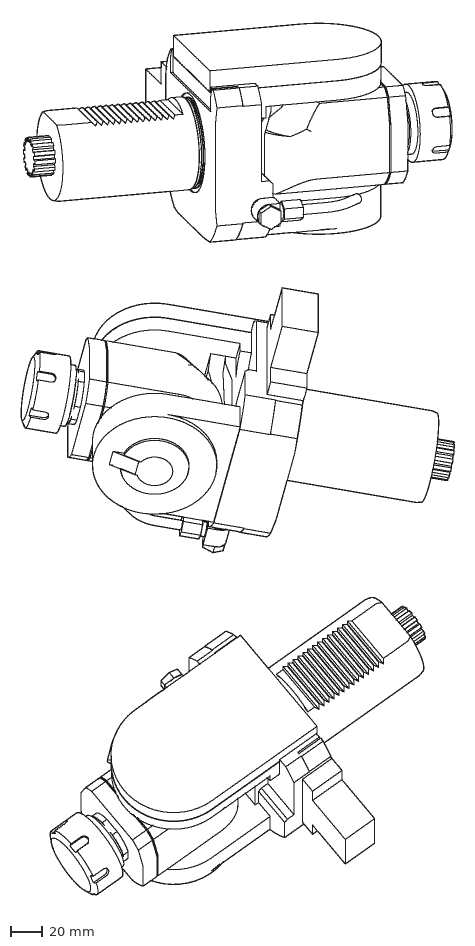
import cadquery as cq
import math


flange_half_width = 55.0
flange_top = 49.0
flange_corner_radius = 67.8
flange_rear_corner_radius = 67.5
flange_front_corner_radius = 61.8
flange_front_step = 1.0
flange_upper_depth = 31.0
flange_lower_depth = 38.5
flange_ledge_height = -12.5
flange_ledge_chamfer = 2.2

front_pocket_half_width = 44.3
front_pocket_floor = 34.0
front_pocket_depth = 1.5
side_slit_width = 1.0
side_slit_depth = 18.5

swivel_y = 85.8
arm_radius = 40.0
cap_radius = 40.2
cap_front = 0.8
arm_top = 60.0
cap_bottom = 45.7
head_half_height = 32.7
lower_arm_bottom = -53.5
lower_disc_bottom = -56.8

dome_radius = 44.0 / 2
dome_rim_bottom = -58.7
dome_flat_radius = 11.5
dome_bottom = -62.9
pointer_reach = 28.5
pointer_width = 11.0

web_half_width = 27.7
web_end = 41.3
web_taper_bottom = 10.0
web_top_end = 45.5
nose_tip = 55.0
nose_tip_half_width = 5.5
arm_root_bottom = 25.0
arm_root_drop = 12.0
arm_root_arc_radius = 14.7

body_front = 135.7
body_side = head_half_height
body_corner_radius = 39.0
body_corner_flat = math.sqrt(body_corner_radius**2 - body_side**2)
body_slope_bottom = 10.0
body_rear_center = 75.0
seam_y = 124.3
seam_width = 0.8
seam_depth = 0.3
cone_base_radius = 39.3
cone_base_height = 7.2
cone_top_radius = 26.0

neck_radius = 17.7
neck_flat_distance = 17.0
neck_groove_start = 139.5
neck_groove_radius = 17.2
collar_start = 141.5
collar_radius = 20.0
nut_start = 146.2
nut_radius = 25.2
nut_end = 169.0
nut_chamfer_length = 2.5
nut_chamfer_width = 4.5
nut_notch_count = 6
nut_notch_width = 6.0
nut_notch_end = 155.3
nut_notch_floor = 23.3

shank_radius = 30.0
shank_length = 94.1
shank_chamfer_length = 3.3
shank_chamfer_width = 0.8
shank_neck_radius = 29.4
shank_neck_length = 3.0
shank_relief_radius = 28.0
shank_relief_length = 1.5
seal_groove_radius = 32.0
seal_groove_depth = 0.8
rack_flat_height = 25.0
rack_flat_start = 10.0
rack_groove_count = 14
rack_groove_span = 52.0
rack_pitch = rack_groove_span / (rack_groove_count - 1)
rack_first_groove = 17.2
rack_groove_depth = 1.8

spline_root_radius = 20.8 / 2
spline_tip_radius = 12.7
spline_tooth_width = 2.63
spline_tooth_count = 14
spline_end = 108.0

block_front = 0.3
block_depth = 24.0
block_base_reach = 65.5
block_base_half_height = 35.0
block_reach = 100.0
block_half_height = 20.0

elbow_y = 31.0
elbow_z = -30.7
elbow_radius = 15.2 / 2
elbow_neck_radius = 7.0
elbow_neck_end = 57.0
elbow_end = 71.0
plug_end = 76.0
plug_corner_diameter = 15.5
fitting_x = 64.2
fitting_neck_radius = 9.7 / 2
fitting_hex_start = 41.5
fitting_hex_end = 54.3
fitting_corner_diameter = 13.8
tube_radius = 6.5 / 2
tube_straight_end = 71.5
tube_bend_radius = 25.0
tube_bend_angle = 39.0
tube_tail_length = 11.5

overlap = 0.5


def box(x0, x1, y0, y1, z0, z1):
    """Axis-aligned box between two opposite corners."""
    return cq.Workplane("XY").box(x1 - x0, y1 - y0, z1 - z0, centered=False).translate((x0, y0, z0))


def rod(radius, y0, y1, x=0, z=0):
    """Cylinder along Y from y0 to y1."""
    return cq.Workplane("XZ", origin=(x, y0, z)).circle(radius).extrude(y0 - y1)


def turned(points):
    """Solid of revolution about the Y axis from (radius, y) points."""
    return cq.Workplane("XY").polyline(points).close().revolve(360, (0, 0, 0), (0, 1, 0))


def side_prism(points, half_width):
    """Prism along X, centred on X = 0, from (y, z) points."""
    return cq.Workplane("YZ").polyline(points).close().extrude(half_width, both=True)


def make_flange():
    lower = box(-flange_half_width, flange_half_width, 0, flange_lower_depth,
                -flange_half_width, flange_ledge_height)
    lower = lower.edges(">Y and >Z").chamfer(flange_ledge_chamfer)
    upper = box(-flange_half_width, flange_half_width, 0, flange_upper_depth,
                flange_ledge_height, flange_top)
    rounding = turned([
        (0, 0),
        (flange_front_corner_radius, 0),
        (flange_corner_radius, flange_front_step),
        (flange_corner_radius, side_slit_depth),
        (flange_rear_corner_radius, side_slit_depth),
        (flange_rear_corner_radius, flange_lower_depth),
        (0, flange_lower_depth),
    ])
    flange = lower.union(upper).intersect(rounding)
    pocket = box(-front_pocket_half_width, front_pocket_half_width, 0, front_pocket_depth,
                 front_pocket_floor, flange_top)
    flange = flange.cut(pocket)
    for inner_edge in (-front_pocket_half_width, front_pocket_half_width - side_slit_width):
        slit = box(inner_edge, inner_edge + side_slit_width, 0, side_slit_depth,
                   front_pocket_floor, flange_top)
        flange = flange.cut(slit)
    seal_groove = rod(seal_groove_radius, 0, seal_groove_depth)
    return flange.cut(seal_groove.cut(rod(shank_neck_radius, 0, seal_groove_depth)))


def rounded_plate(start, radius, z0, z1):
    """Plate from y = start to the swivel axis, rounded about that axis."""
    disc = cq.Workplane("XY", origin=(0, swivel_y, z0)).circle(radius).extrude(z1 - z0)
    return disc.union(box(-radius, radius, start, swivel_y, z0, z1))


def make_arms():
    upper = rounded_plate(flange_upper_depth - overlap, arm_radius, head_half_height, cap_bottom)
    cap = rounded_plate(cap_front, cap_radius, cap_bottom, arm_top)
    lower = rounded_plate(flange_upper_depth - overlap, arm_radius, lower_arm_bottom, -head_half_height)
    disc = cq.Workplane("XY", origin=(0, swivel_y, lower_disc_bottom)).circle(arm_radius)
    disc = disc.extrude(lower_arm_bottom - lower_disc_bottom)
    return upper.union(cap).union(lower).union(disc)


def make_dome():
    dome = (
        cq.Workplane("XZ", origin=(0, swivel_y, 0))
        .polyline([
            (0, lower_disc_bottom + overlap),
            (dome_radius, lower_disc_bottom + overlap),
            (dome_radius, dome_rim_bottom),
            (dome_flat_radius, dome_bottom),
            (0, dome_bottom),
        ])
        .close()
        .revolve(360, (0, 0, 0), (0, 1, 0))
    )
    pointer = side_prism([
        (swivel_y, lower_disc_bottom + overlap),
        (swivel_y, dome_bottom),
        (swivel_y + dome_flat_radius, dome_bottom),
        (swivel_y + pointer_reach, lower_disc_bottom),
        (swivel_y + pointer_reach, lower_disc_bottom + overlap),
    ], pointer_width / 2)
    return dome.union(pointer)


def make_web():
    """Web behind the flange that joins both arms and follows the head cone."""
    web = side_prism([
        (flange_upper_depth - overlap, -head_half_height),
        (web_end, -head_half_height),
        (web_end, web_taper_bottom),
        (web_top_end, arm_root_bottom),
        (web_top_end, head_half_height),
        (flange_upper_depth - overlap, head_half_height),
    ], web_half_width)
    nose = side_prism([
        (web_end - overlap, web_taper_bottom),
        (web_top_end, web_taper_bottom),
        (nose_tip, arm_root_bottom),
        (nose_tip, head_half_height),
        (web_end - overlap, head_half_height),
    ], web_half_width)
    nose_taper = (
        cq.Workplane("XZ")
        .polyline([
            (-web_half_width, head_half_height),
            (-nose_tip_half_width, web_taper_bottom),
            (nose_tip_half_width, web_taper_bottom),
            (web_half_width, head_half_height),
        ])
        .close()
        .extrude(-nose_tip)
    )
    nose = nose.intersect(nose_taper)
    root = (
        cq.Workplane("XZ", origin=(0, flange_upper_depth - overlap, 0))
        .moveTo(-arm_radius, head_half_height)
        .lineTo(-arm_radius, arm_root_bottom)
        .radiusArc((-web_half_width, arm_root_bottom - arm_root_drop), arm_root_arc_radius)
        .lineTo(web_half_width, arm_root_bottom - arm_root_drop)
        .radiusArc((arm_radius, arm_root_bottom), arm_root_arc_radius)
        .lineTo(arm_radius, head_half_height)
        .close()
        .extrude(flange_upper_depth - overlap - flange_lower_depth)
    )
    return web.union(nose).union(root)


def head_outline(y):
    """Cross-section of the swivel head in the plane at the given y."""
    corner_mid = body_corner_radius * math.sqrt(0.5)
    top_arc_angle = (math.acos(body_corner_flat / body_corner_radius) + math.pi / 4) / 2
    arc_x = body_corner_radius * math.cos(top_arc_angle)
    arc_z = body_corner_radius * math.sin(top_arc_angle)
    return (
        cq.Workplane("XZ", origin=(0, y, 0))
        .moveTo(-body_corner_flat, head_half_height)
        .lineTo(body_corner_flat, head_half_height)
        .threePointArc((arc_x, arc_z), (corner_mid, corner_mid))
        .lineTo(body_side, body_slope_bottom)
        .lineTo(body_side, -body_corner_flat)
        .threePointArc((corner_mid, -corner_mid), (body_corner_flat, -head_half_height))
        .lineTo(-body_corner_flat, -head_half_height)
        .threePointArc((-corner_mid, -corner_mid), (-body_side, -body_corner_flat))
        .lineTo(-body_side, body_slope_bottom)
        .lineTo(-corner_mid, corner_mid)
        .threePointArc((-arc_x, arc_z), (-body_corner_flat, head_half_height))
        .close()
    )


def make_head():
    """Swivel head: profiled body, round and cone-relieved at the rear."""
    body = head_outline(body_front).extrude(body_front - body_rear_center + body_side)
    plan = (
        cq.Workplane("XY", origin=(0, body_rear_center, -head_half_height))
        .circle(body_side)
        .extrude(2 * head_half_height)
        .union(box(-body_side, body_side, body_rear_center, body_front,
                   -head_half_height, head_half_height))
    )
    body = body.intersect(plan)
    cone = (
        cq.Workplane("XZ", origin=(0, swivel_y, 0))
        .polyline([
            (0, cone_base_height),
            (cone_base_radius, cone_base_height),
            (cone_top_radius, head_half_height),
            (0, head_half_height),
        ])
        .close()
        .revolve(360, (0, 0, 0), (0, 1, 0))
    )
    relief = box(-body_side, body_side, 0, swivel_y, cone_base_height, head_half_height).cut(cone)
    body = body.cut(relief)
    seam_ring = head_outline(seam_y).extrude(seam_width)
    seam_core = head_outline(seam_y).offset2D(-seam_depth).extrude(seam_width)
    seam_ring = seam_ring.cut(seam_core)
    return body.cut(seam_ring)


def make_spindle():
    neck = rod(neck_radius, body_front - overlap, neck_groove_start)
    neck = neck.union(rod(neck_groove_radius, neck_groove_start, collar_start))
    neck = neck.intersect(box(-neck_flat_distance, neck_flat_distance, 0, collar_start,
                              -neck_flat_distance, neck_flat_distance))
    nut = turned([
        (0, collar_start),
        (collar_radius, collar_start),
        (collar_radius, nut_start),
        (nut_radius, nut_start),
        (nut_radius, nut_end - nut_chamfer_length),
        (nut_radius - nut_chamfer_width, nut_end),
        (0, nut_end),
    ])
    notch = (
        cq.Workplane("XY", origin=(0, 0, nut_notch_floor))
        .moveTo(-nut_notch_width / 2, nut_end)
        .lineTo(-nut_notch_width / 2, nut_notch_end + nut_notch_width / 2)
        .threePointArc((0, nut_notch_end), (nut_notch_width / 2, nut_notch_end + nut_notch_width / 2))
        .lineTo(nut_notch_width / 2, nut_end)
        .close()
        .extrude(nut_radius - nut_notch_floor)
    )
    for index in range(nut_notch_count):
        nut = nut.cut(notch.rotate((0, 0, 0), (0, 1, 0), index * 360 / nut_notch_count))
    return neck.union(nut)


def make_shank():
    shank = turned([
        (0, overlap + seal_groove_depth),
        (shank_relief_radius, overlap + seal_groove_depth),
        (shank_relief_radius, -shank_relief_length),
        (shank_neck_radius, -shank_relief_length),
        (shank_neck_radius, -shank_neck_length),
        (shank_radius, -shank_neck_length),
        (shank_radius, shank_chamfer_length - shank_length),
        (shank_radius - shank_chamfer_width, -shank_length),
        (0, -shank_length),
    ])
    shank = shank.cut(box(-shank_radius, shank_radius, -shank_length, -rack_flat_start,
                          rack_flat_height, shank_radius))
    for index in range(rack_groove_count):
        y = -rack_first_groove - index * rack_pitch
        groove = side_prism([
            (y - rack_groove_depth, rack_flat_height),
            (y, rack_flat_height - rack_groove_depth),
            (y + rack_groove_depth, rack_flat_height),
        ], shank_radius)
        shank = shank.cut(groove)
    return shank


def make_spline():
    spline = rod(spline_root_radius, -spline_end, overlap - shank_length)
    tooth = box(spline_root_radius - overlap, spline_tip_radius, -spline_end, overlap - shank_length,
                -spline_tooth_width / 2, spline_tooth_width / 2)
    for index in range(spline_tooth_count):
        spline = spline.union(tooth.rotate((0, 0, 0), (0, 1, 0), index * 360 / spline_tooth_count))
    return spline


def make_side_block():
    base = box(-block_base_reach, overlap - flange_half_width, block_front, block_depth,
               -block_base_half_height, block_base_half_height)
    return base.union(box(-block_reach, -block_base_reach, block_front, block_depth,
                          -block_half_height, block_half_height))


def make_coolant_line():
    """Elbow on the flange side, hex fitting and bent nozzle tube."""
    across = cq.Workplane("YZ", origin=(flange_half_width - overlap, elbow_y, elbow_z))
    neck = across.circle(elbow_neck_radius).extrude(elbow_neck_end - flange_half_width + overlap)
    elbow = (
        cq.Workplane("YZ", origin=(elbow_neck_end, elbow_y, elbow_z))
        .circle(elbow_radius)
        .extrude(elbow_end - elbow_neck_end)
    )
    elbow_port = box(elbow_neck_end, elbow_end, elbow_y, elbow_y + elbow_radius,
                     elbow_z - elbow_radius, elbow_z + elbow_radius)
    elbow = elbow.union(elbow_port)
    plug = (
        cq.Workplane("YZ", origin=(elbow_end, elbow_y, elbow_z))
        .transformed(rotate=(0, 0, 90))
        .polygon(6, plug_corner_diameter)
        .extrude(plug_end - elbow_end)
    )
    fitting_neck = rod(fitting_neck_radius, elbow_y, fitting_hex_start, fitting_x, elbow_z)
    fitting = (
        cq.Workplane("XZ", origin=(fitting_x, fitting_hex_start, elbow_z))
        .transformed(rotate=(0, 0, 90))
        .polygon(6, fitting_corner_diameter)
        .extrude(fitting_hex_start - fitting_hex_end)
    )
    bend = math.radians(tube_bend_angle)
    center_x = fitting_x - tube_bend_radius

    def on_bend(angle):
        return (center_x + tube_bend_radius * math.cos(angle),
                tube_straight_end + tube_bend_radius * math.sin(angle))

    bend_end = on_bend(bend)
    tip = (bend_end[0] - tube_tail_length * math.sin(bend),
           bend_end[1] + tube_tail_length * math.cos(bend))
    path = (
        cq.Workplane("XY", origin=(0, 0, elbow_z))
        .moveTo(fitting_x, fitting_hex_end - overlap)
        .lineTo(fitting_x, tube_straight_end)
        .threePointArc(on_bend(bend / 2), bend_end)
        .lineTo(*tip)
    )
    tube = (
        cq.Workplane("XZ", origin=(fitting_x, fitting_hex_end - overlap, elbow_z))
        .circle(tube_radius)
        .sweep(path)
    )
    return neck.union(elbow).union(plug).union(fitting_neck).union(fitting).union(tube)


result = make_flange()
for piece in (make_arms(), make_web(), make_head(), make_dome(), make_spindle(),
              make_shank(), make_spline(), make_side_block(), make_coolant_line()):
    result = result.union(piece)